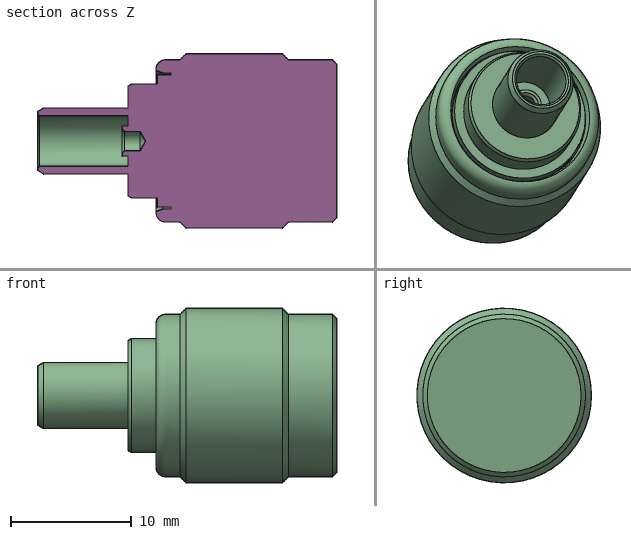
import cadquery as cq
import math

total_length = 24.83

tube_radius = 2.75
tube_tip_radius = 2.45
tube_tip_length = 0.5
bore_radius = 2.09
bore_mouth_radius = 2.25
bore_depth = 7.5

pin_radius = 1.27
pin_height = 0.5
cup_radius = 0.8
cup_mouth_radius = 1.02
cup_depth = 1.5
drill_point_angle = 120.0

flange_start = 7.5
flange_radius = 4.75
flange_chamfer_length = 0.3
flange_chamfer_height = 0.17

sleeve_start = 9.8
sleeve_radius = 6.75
sleeve_fillet = 0.82
front_chamfer = 0.37
band_start = 11.82
band_end = 20.8
band_radius = 7.25
band_chamfer = band_radius - sleeve_radius

recess_mouth_radius = 5.85
recess_mouth_length = 0.6
recess_radius = 5.64
recess_depth = 1.25
inner_body_radius = 5.5
inner_body_setback = 0.1


def cylinder(start, end, radius):
    """Cylinder on the X axis between two X positions."""
    return cq.Workplane("YZ", origin=(start, 0, 0)).circle(radius).extrude(end - start)


def cone(start, end, start_radius, end_radius):
    """Truncated cone on the X axis; an end radius of zero gives a sharp point."""
    outline = [(start, 0), (start, start_radius), (end, end_radius)]
    if end_radius > 0:
        outline.append((end, 0))
    return cq.Workplane("XY").polyline(outline).close().revolve(360, (0, 0, 0), (1, 0, 0))


def make_tube():
    tip = cone(0, tube_tip_length, tube_tip_radius, tube_radius)
    return tip.union(cylinder(tube_tip_length, sleeve_start, tube_radius))


def make_flange():
    chamfer_end = flange_start + flange_chamfer_length
    chamfer = cone(flange_start, chamfer_end, flange_radius - flange_chamfer_height, flange_radius)
    return chamfer.union(cylinder(chamfer_end, band_start, flange_radius))


def make_sleeve():
    sleeve = cylinder(sleeve_start, total_length, sleeve_radius)
    sleeve = sleeve.faces("<X").edges().fillet(sleeve_fillet)
    sleeve = sleeve.faces(">X").chamfer(front_chamfer)
    band = cylinder(band_start, band_end, band_radius).faces("<X or >X").chamfer(band_chamfer)
    return sleeve.union(band)


def make_sleeve_recess():
    recess_floor = sleeve_start + recess_depth
    recess = cylinder(sleeve_start, recess_floor, recess_radius)
    mouth = cone(sleeve_start, sleeve_start + recess_mouth_length, recess_mouth_radius, recess_radius)
    recess = recess.union(mouth)
    return recess.cut(cylinder(sleeve_start + inner_body_setback, recess_floor, inner_body_radius))


def make_bore():
    mouth_length = bore_mouth_radius - bore_radius
    bore = cylinder(0, bore_depth, bore_radius)
    return bore.union(cone(0, mouth_length, bore_mouth_radius, bore_radius))


def make_solder_cup(pin_tip):
    mouth_length = cup_mouth_radius - cup_radius
    point_length = cup_radius / math.tan(math.radians(drill_point_angle / 2))
    cup_floor = pin_tip + cup_depth
    cup = cylinder(pin_tip, cup_floor, cup_radius)
    cup = cup.union(cone(pin_tip, pin_tip + mouth_length, cup_mouth_radius, cup_radius))
    return cup.union(cone(cup_floor, cup_floor + point_length, cup_radius, 0))


pin_start = bore_depth - pin_height

result = make_sleeve().cut(make_sleeve_recess())
result = result.union(make_flange()).union(make_tube()).cut(make_bore())
result = result.union(cylinder(pin_start, bore_depth, pin_radius)).cut(make_solder_cup(pin_start))